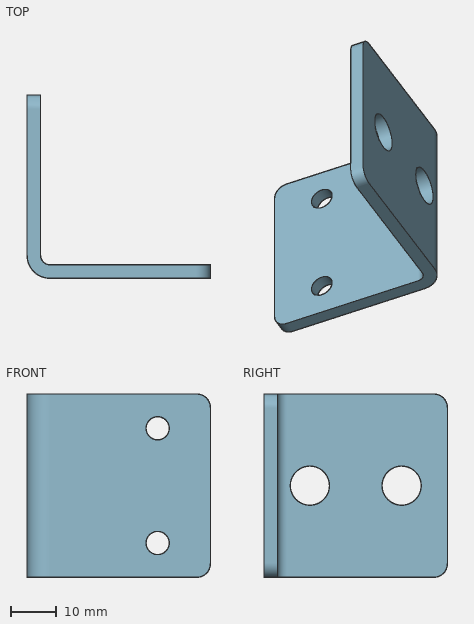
import cadquery as cq

side = 40.0
thickness = 3.0
inner_bend_radius = 2.0
corner_radius = 3.0
small_hole_diameter = 5.0
small_hole_spacing = 25.0
small_hole_x = 28.5
large_hole_diameter = 8.5
large_hole_spacing = 20.0

outer_bend_radius = inner_bend_radius + thickness
middle = side / 2


def make_bent_plate():
    """L-shaped plate with its bend along the Z axis."""
    plate = (
        cq.Workplane("XY")
        .moveTo(0, 0)
        .lineTo(side, 0)
        .lineTo(side, thickness)
        .lineTo(thickness, thickness)
        .lineTo(thickness, side)
        .lineTo(0, side)
        .close()
        .extrude(side)
    )
    inner_edge = cq.selectors.NearestToPointSelector((thickness, thickness, middle))
    outer_edge = cq.selectors.NearestToPointSelector((0, 0, middle))
    plate = plate.edges(inner_edge).fillet(inner_bend_radius)
    return plate.edges(outer_edge).fillet(outer_bend_radius)


def round_free_corners(plate):
    """Round the top and bottom corners at the free end of each leg."""
    plate = plate.faces(">X").edges("|Y").fillet(corner_radius)
    return plate.faces(">Y").edges("|X").fillet(corner_radius)


def make_small_holes():
    """Two cutters through the X leg, one above the other."""
    return (
        cq.Workplane("XZ")
        .pushPoints([(small_hole_x, middle + sign * small_hole_spacing / 2) for sign in (-1, 1)])
        .circle(small_hole_diameter / 2)
        .extrude(-thickness)
    )


def make_large_holes():
    """Two cutters through the Y leg, side by side at mid height."""
    return (
        cq.Workplane("YZ")
        .pushPoints([(middle + sign * large_hole_spacing / 2, middle) for sign in (-1, 1)])
        .circle(large_hole_diameter / 2)
        .extrude(thickness)
    )


bracket = round_free_corners(make_bent_plate())
result = bracket.cut(make_small_holes()).cut(make_large_holes())